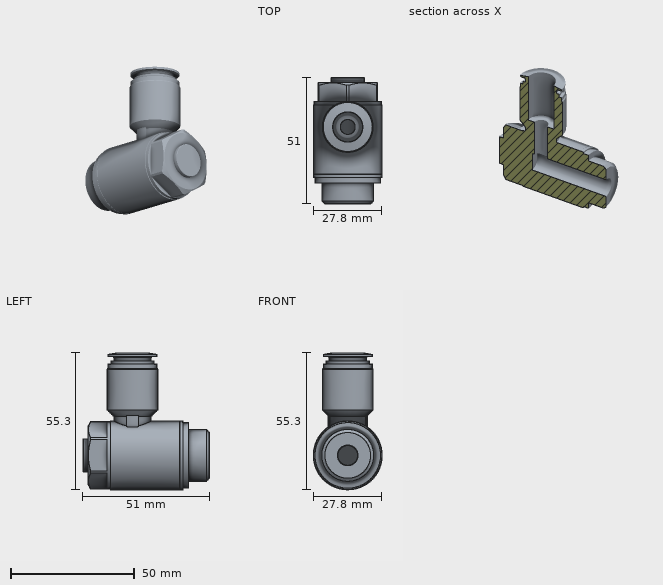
import cadquery as cq
import math


BODY_R = 27.8 / 2
FLANGE_R = 27.2 / 2
COLLAR_R = 26.45 / 2
SPIGOT_R = 20.95 / 2
BUTTON_R = 13.4 / 2
SPIGOT_END_Y = -31.05
COLLAR_START_Y = -22.7
BODY_START_Y = -20.35
BODY_END_Y = 8.8
FLANGE_END_Y = 10.35
HEX_END_Y = 18.0
BUTTON_END_Y = 19.9
SPIGOT_CHAMFER = 1.25
BUTTON_CHAMFER = 0.15

GROOVE_Y = -19.15
GROOVE_WIDTH = 0.2
GROOVE_DEPTH = 0.1

HEX_ACROSS_FLATS = 24.0
HEX_CHAMFER_ANGLE = math.radians(30)
HEX_CHAMFER_LENGTH = 1.14

STEM_R = 15.0 / 2
SLEEVE_R = 20.5 / 2
RIM_R = 19.8 / 2
RING_R = 17.4 / 2
ROOT_R = 15.6 / 2
SLEEVE_BOTTOM_Z = 18.4
SLEEVE_TOP_Z = 34.7
RIM_BASE_Z = 35.15
RIM_TOP_Z = 36.85
RING_TOP_Z = 38.15
NECK_TOP_Z = 39.45
FLANGE_BOTTOM_Z = 39.85
FLANGE_EDGE_Z = 40.7
PORT_TOP_Z = 41.4

LUG_R = 16.0 / 2
LUG_WIDTH = 5.0

TUBE_BORE_R = 12.0 / 2
TUBE_MOUTH_R = 12.2 / 2
TUBE_FLOOR_Z = 20.0
LINK_BORE_R = 6.0 / 2
MAIN_BORE_R = 8.0 / 2
MAIN_MOUTH_R = 8.3 / 2
MAIN_BORE_END_Y = MAIN_BORE_R


def revolve_about_y(points):
    """Revolve an outline of (radius, y) points about the Y axis."""
    return cq.Workplane("XY").polyline(points).close().revolve(360, (0, 0), (0, 1))


def revolve_about_z(points):
    """Revolve an outline of (radius, z) points about the Z axis."""
    return cq.Workplane("XZ").polyline(points).close().revolve(360, (0, 0), (0, 1))


def make_body():
    groove_floor_r = BODY_R - GROOVE_DEPTH
    groove_start_y = GROOVE_Y - GROOVE_WIDTH / 2
    groove_end_y = GROOVE_Y + GROOVE_WIDTH / 2
    return revolve_about_y([
        (0, SPIGOT_END_Y),
        (SPIGOT_R - SPIGOT_CHAMFER, SPIGOT_END_Y),
        (SPIGOT_R, SPIGOT_END_Y + SPIGOT_CHAMFER),
        (SPIGOT_R, COLLAR_START_Y),
        (COLLAR_R, COLLAR_START_Y),
        (COLLAR_R, BODY_START_Y),
        (BODY_R, BODY_START_Y),
        (BODY_R, groove_start_y),
        (groove_floor_r, groove_start_y),
        (groove_floor_r, groove_end_y),
        (BODY_R, groove_end_y),
        (BODY_R, BODY_END_Y),
        (FLANGE_R, BODY_END_Y),
        (FLANGE_R, FLANGE_END_Y),
        (BUTTON_R, FLANGE_END_Y),
        (BUTTON_R, BUTTON_END_Y - BUTTON_CHAMFER),
        (BUTTON_R - BUTTON_CHAMFER, BUTTON_END_Y),
        (0, BUTTON_END_Y),
    ])


def make_hexagon():
    across_corners = HEX_ACROSS_FLATS / math.cos(math.pi / 6)
    end_r = FLANGE_R - HEX_CHAMFER_LENGTH / math.tan(HEX_CHAMFER_ANGLE)
    prism = (
        cq.Workplane("XZ", origin=(0, FLANGE_END_Y, 0))
        .transformed(rotate=(0, 0, 90))
        .polygon(6, across_corners)
        .extrude(FLANGE_END_Y - HEX_END_Y)
    )
    envelope = revolve_about_y([
        (0, FLANGE_END_Y),
        (FLANGE_R, FLANGE_END_Y),
        (FLANGE_R, HEX_END_Y - HEX_CHAMFER_LENGTH),
        (end_r, HEX_END_Y),
        (0, HEX_END_Y),
    ])
    return prism.intersect(envelope)


def make_port():
    cone_bottom_z = SLEEVE_BOTTOM_Z - (SLEEVE_R - STEM_R)
    return revolve_about_z([
        (0, 0),
        (STEM_R, 0),
        (STEM_R, cone_bottom_z),
        (SLEEVE_R, SLEEVE_BOTTOM_Z),
        (SLEEVE_R, SLEEVE_TOP_Z),
        (RIM_R, RIM_BASE_Z),
        (RIM_R, RIM_TOP_Z),
        (RING_R, RIM_TOP_Z),
        (RING_R, RING_TOP_Z),
        (STEM_R, RING_TOP_Z),
        (STEM_R, NECK_TOP_Z),
        (ROOT_R, FLANGE_BOTTOM_Z),
        (RIM_R, FLANGE_BOTTOM_Z),
        (RIM_R, FLANGE_EDGE_Z),
        (TUBE_MOUTH_R, PORT_TOP_Z),
        (0, PORT_TOP_Z),
    ])


def make_lugs():
    cylinder = cq.Workplane("XY").circle(LUG_R).extrude(SLEEVE_BOTTOM_Z)
    band = cq.Workplane("XY").rect(2 * LUG_R, LUG_WIDTH).extrude(SLEEVE_BOTTOM_Z)
    return cylinder.intersect(band)


def make_tube_bore():
    """Stepped bore down the port, opening into the main bore."""
    mouth_chamfer = TUBE_MOUTH_R - TUBE_BORE_R
    return revolve_about_z([
        (0, 0),
        (LINK_BORE_R, 0),
        (LINK_BORE_R, TUBE_FLOOR_Z),
        (TUBE_BORE_R, TUBE_FLOOR_Z),
        (TUBE_BORE_R, PORT_TOP_Z - mouth_chamfer),
        (TUBE_MOUTH_R, PORT_TOP_Z),
        (0, PORT_TOP_Z),
    ])


def make_main_bore():
    """Blind bore from the threaded end, with a small mouth chamfer."""
    mouth_chamfer = MAIN_MOUTH_R - MAIN_BORE_R
    return revolve_about_y([
        (0, SPIGOT_END_Y),
        (MAIN_MOUTH_R, SPIGOT_END_Y),
        (MAIN_BORE_R, SPIGOT_END_Y + mouth_chamfer),
        (MAIN_BORE_R, MAIN_BORE_END_Y),
        (0, MAIN_BORE_END_Y),
    ])


solid_fitting = make_body().union(make_hexagon()).union(make_port()).union(make_lugs())
result = solid_fitting.cut(make_tube_bore()).cut(make_main_bore())